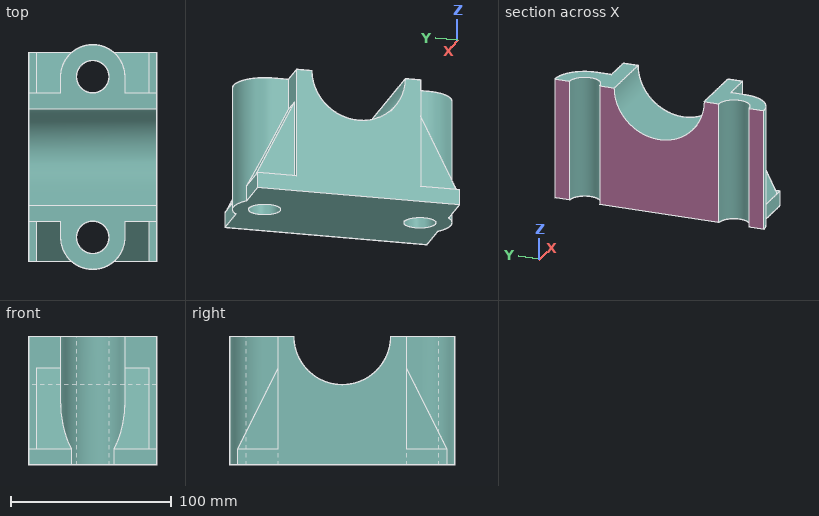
import cadquery as cq

overall_length = 140.0
block_size = 80.0
bore_diameter = 60.0
base_length = 130.0
base_thickness = 10.0
boss_diameter = 40.0
bolt_hole_diameter = 20.0
wedge_width = 70.0
wedge_top = 60.0

boss_offset = (overall_length - boss_diameter) / 2


def upright_box(width, length, height):
    """Box centred in X and Y, standing on Z = 0."""
    return cq.Workplane("XY").box(width, length, height, centered=(True, True, False))


def bolt_boss(side):
    """Full-height round boss joined to the block by straight flanks."""
    center_y = side * boss_offset
    round_end = cq.Workplane("XY").center(0, center_y).circle(boss_diameter / 2).extrude(block_size)
    web = (
        cq.Workplane("XY")
        .center(0, center_y / 2)
        .rect(boss_diameter, boss_offset)
        .extrude(block_size)
    )
    return round_end.union(web)


def wedges():
    """Sloping supports on both ends, running from the block down to the base edges."""
    profile = [
        (-base_length / 2, base_thickness),
        (-block_size / 2, wedge_top),
        (block_size / 2, wedge_top),
        (base_length / 2, base_thickness),
    ]
    return cq.Workplane("YZ").polyline(profile).close().extrude(wedge_width / 2, both=True)


body = upright_box(block_size, block_size, block_size)
body = body.union(upright_box(block_size, base_length, base_thickness))
body = body.union(wedges())
for side in (-1, 1):
    body = body.union(bolt_boss(side))

bearing_seat = (
    cq.Workplane("YZ", origin=(-block_size / 2, 0, block_size))
    .circle(bore_diameter / 2)
    .extrude(block_size)
)

bolt_holes = (
    cq.Workplane("XY")
    .pushPoints([(0, -boss_offset), (0, boss_offset)])
    .circle(bolt_hole_diameter / 2)
    .extrude(block_size)
)

result = body.cut(bearing_seat).cut(bolt_holes)